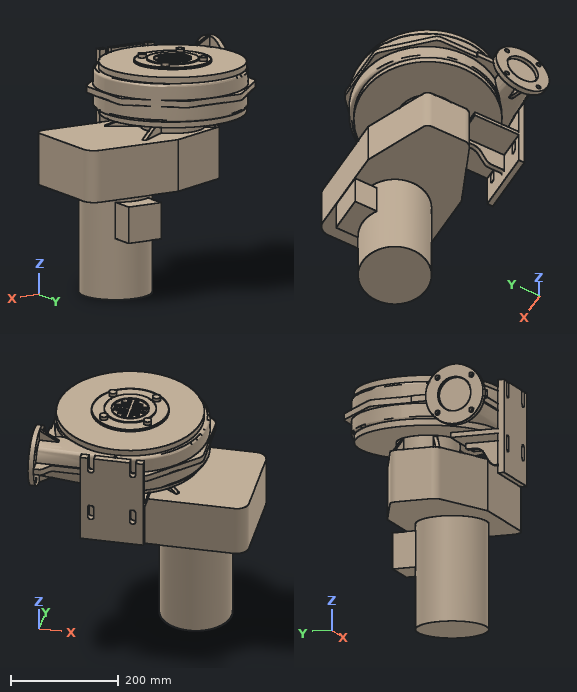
import cadquery as cq
import math


motor_x = 125.2
motor_radius = 68.8
housing_bottom = 202.5
housing_top = 301.5
housing_left = -78.0
housing_right = 242.5
housing_half_width = 100.3
housing_nose_half_width = 46.0
housing_taper_end = 49.0
housing_corner_radius = 22.8
housing_nose_radius = 15.8
terminal_box_width = 72.0
terminal_box_back = 105.5
terminal_box_bottom = 117.5
terminal_box_top = 187.0

neck_radius = 59.5
rib_angle = 33.7
rib_thickness = 8.0
rib_top = 328.5
long_rib_reach = 127.0
short_rib_reach = 80.0

casing_mid = 379.0
cover_radius = 138.5
cover_height = 96.5
scroll_height = 72.5
scroll_large_radius = 149.5
scroll_small_radius = 140.5
scroll_edge_radius = 5.0
cover_bottom = casing_mid - cover_height / 2
cover_top = casing_mid + cover_height / 2
scroll_bottom = casing_mid - scroll_height / 2

plate_thickness = 12.3
plate_left = -146.0
plate_right = 152.0
plate_back = 146.5
plate_front = -152.0
plate_left_end = 61.0
plate_back_left_end = -60.5
plate_back_right_end = 58.2
plate_right_back_end = 61.0
plate_right_front_end = -63.0
plate_front_end = 61.5
plate_step_y = -22.5
plate_foot_inner = -118.2
plate_foot_outer = -135.0
plate_corner_radius = 19.3
plate_foot_radius = 11.5

flange_face = -160.0
flange_thickness = 11.0
flange_radius = 57.5
flange_bolt_offset = 33.5
flange_bolt_radius = 4.5
outlet_bore_radius = 33.0
outlet_bore_depth = 8.0
pipe_radius = scroll_height / 2
pipe_y = pipe_radius - scroll_large_radius
pipe_start = flange_face + flange_thickness
pipe_corner_angle = 52
pipe_arc_half_angle = 6
gusset_thickness = 6.5
gusset_end = -112.5

gasket_radius = 72.5
gasket_height = 2.0
inlet_flange_radius = 72.0
inlet_flange_height = 1.8
inlet_ring_radius = 48.5
inlet_ring_height = 2.0
bolt_offset = 41.5
bolt_radius = 7.5
overall_top = 438
grille_radius = 35.0
grille_recess = 1.5
grille_thickness = 1.8
grille_hole = 7.0
grille_positions = (6.5, 16.0, 26.5)
inlet_chamber_depth = 8.8
gasket_top = cover_top + gasket_height
inlet_flange_top = gasket_top + inlet_flange_height
inlet_top = inlet_flange_top + inlet_ring_height

bracket_x = 1.0
bracket_width = 120.0
bracket_front = -174.0
bracket_thickness = 12.3
bracket_bottom = 245.2
bracket_top = 424.5
bracket_back = bracket_front + bracket_thickness
slot_spacing = 79.5
slot_radius = 5.5
low_slot_bottom = 290.0
low_slot_top = 320.5
high_slot_bottom = 393.2
shelf_thickness = 9.0
shelf_end = -67.5
shelf_bottom = cover_bottom - shelf_thickness
web_thickness = 9.0
web_tip = -76.0
web_step_y = -105.5
web_step_z = 311.0
web_heel_y = -127.5
web_bottom = 276.0
web_tip_radius = 3.0
web_step_radius = 19.5
web_heel_radius = 13.0
web_flare_radius = 4.0


def disc(radius, bottom, height, x=0, y=0):
    return cq.Workplane("XY", (x, y, bottom)).circle(radius).extrude(height)


def block(x_range, y_range, z_range):
    lows, highs = zip(x_range, y_range, z_range)
    size = [high - low for low, high in zip(lows, highs)]
    return cq.Workplane("XY").box(*size, centered=False).translate(lows)


def fillet_at(body, point, radius):
    """Round the one edge whose midpoint is the given point."""
    margin = 0.5
    low = [value - margin for value in point]
    high = [value + margin for value in point]
    return body.edges(cq.selectors.BoxSelector(low, high)).fillet(radius)


def make_housing():
    outline = [
        (housing_left, -housing_nose_half_width),
        (housing_taper_end, -housing_half_width),
        (housing_right, -housing_half_width),
        (housing_right, housing_half_width),
        (housing_taper_end, housing_half_width),
        (housing_left, housing_nose_half_width),
    ]
    body = (
        cq.Workplane("XY", (0, 0, housing_bottom))
        .polyline(outline).close()
        .extrude(housing_top - housing_bottom)
    )
    body = body.edges("|Z and >X").fillet(housing_corner_radius)
    return body.edges("|Z and <X").fillet(housing_nose_radius)


def make_motor():
    half_width = terminal_box_width / 2
    terminal_box = block(
        (motor_x - half_width, motor_x + half_width),
        (0, terminal_box_back),
        (terminal_box_bottom, terminal_box_top),
    )
    return disc(motor_radius, 0, housing_bottom, motor_x).union(terminal_box)


def make_neck_rib(reach, angle):
    outline = [(0, housing_top), (reach, housing_top), (neck_radius, rib_top), (0, rib_top)]
    rib = cq.Workplane("XZ").polyline(outline).close().extrude(rib_thickness / 2, both=True)
    return rib.rotate((0, 0, 0), (0, 0, 1), angle)


def make_neck():
    neck = disc(neck_radius, housing_top, cover_bottom - housing_top)
    for side in (-1, 1):
        neck = neck.union(make_neck_rib(long_rib_reach, side * rib_angle))
        neck = neck.union(make_neck_rib(short_rib_reach, 180 + side * rib_angle))
    return neck


def make_scroll():
    diagonal = math.sqrt(0.5)
    back_radius = (scroll_large_radius + scroll_small_radius) / 2
    back_x = scroll_large_radius - back_radius
    body = (
        cq.Workplane("XY", (0, 0, scroll_bottom))
        .moveTo(0, -scroll_large_radius)
        .threePointArc(
            (scroll_large_radius * diagonal, -scroll_large_radius * diagonal), (scroll_large_radius, 0)
        )
        .threePointArc((back_x, back_radius), (-scroll_small_radius, 0))
        .threePointArc(
            (-scroll_small_radius * diagonal, -scroll_small_radius * diagonal), (0, -scroll_small_radius)
        )
        .close()
        .extrude(scroll_height)
    )
    return body.faces("<Z or >Z").edges().fillet(scroll_edge_radius)


def make_parting_plate():
    octagon_corners = [
        (plate_left, plate_left_end),
        (plate_back_left_end, plate_back),
        (plate_back_right_end, plate_back),
        (plate_right, plate_right_back_end),
        (plate_right, plate_right_front_end),
        (plate_front_end, plate_front),
    ]
    foot_y = pipe_y - flange_radius
    foot_corners = [(plate_foot_inner, plate_front), (plate_foot_outer, foot_y)]
    flange_side = [(pipe_start, foot_y), (pipe_start, plate_step_y), (plate_left, plate_step_y)]
    plate = (
        cq.Workplane("XY", (0, 0, casing_mid - plate_thickness / 2))
        .polyline(octagon_corners + foot_corners + flange_side).close()
        .extrude(plate_thickness)
    )
    for x, y in octagon_corners:
        plate = fillet_at(plate, (x, y, casing_mid), plate_corner_radius)
    for x, y in foot_corners:
        plate = fillet_at(plate, (x, y, casing_mid), plate_foot_radius)
    return plate


def ring_point(angle):
    angle = math.radians(angle)
    return pipe_radius * math.cos(angle), pipe_radius * math.sin(angle)


def make_pipe():
    plane = cq.Plane((pipe_start, pipe_y, casing_mid), xDir=(0, 1, 0), normal=(1, 0, 0))
    flat = pipe_radius - scroll_edge_radius
    bulge = flat + scroll_edge_radius * math.sqrt(0.5)
    quadrants = (
        (1, 1, pipe_corner_angle),
        (-1, 1, 180 - pipe_corner_angle),
        (-1, -1, 180 + pipe_corner_angle),
        (1, -1, 360 - pipe_corner_angle),
    )
    last_angle = pipe_arc_half_angle - pipe_corner_angle
    circle = cq.Workplane(plane).moveTo(*ring_point(last_angle))
    square = cq.Workplane(plane).workplane(offset=-pipe_start).moveTo(pipe_radius, -flat)
    for u, v, corner in quadrants:
        before = corner - pipe_arc_half_angle
        after = corner + pipe_arc_half_angle
        circle = circle.threePointArc(ring_point((last_angle + before) / 2), ring_point(before))
        circle = circle.threePointArc(ring_point(corner), ring_point(after))
        last_angle = after
        side_end = (u * pipe_radius, v * flat)
        level_end = (u * flat, v * pipe_radius)
        start, end = (side_end, level_end) if u == v else (level_end, side_end)
        square = square.lineTo(*start).threePointArc((u * bulge, v * bulge), end)
    wires = [circle.close().val(), square.close().val()]
    return cq.Workplane(cq.Solid.makeLoft(wires, True))


def make_outlet():
    pipe = make_pipe()
    gusset = (
        cq.Workplane("XZ", (0, pipe_y, casing_mid))
        .polyline([
            (pipe_start, -flange_radius),
            (gusset_end, -pipe_radius),
            (gusset_end, pipe_radius),
            (pipe_start, flange_radius),
        ])
        .close()
        .extrude(gusset_thickness / 2, both=True)
    )
    face = cq.Plane((flange_face, pipe_y, casing_mid), xDir=(0, 1, 0), normal=(1, 0, 0))
    flange = cq.Workplane(face).circle(flange_radius).extrude(flange_thickness)
    bolt_holes = (
        cq.Workplane(face)
        .rect(2 * flange_bolt_offset, 2 * flange_bolt_offset, forConstruction=True)
        .vertices().circle(flange_bolt_radius)
        .extrude(flange_thickness)
    )
    bore = cq.Workplane(face).circle(outlet_bore_radius).extrude(outlet_bore_depth)
    return pipe.union(gusset).union(flange), bolt_holes.union(bore)


def make_inlet():
    inlet = disc(gasket_radius, cover_top, gasket_height)
    inlet = inlet.union(disc(inlet_flange_radius, gasket_top, inlet_flange_height))
    inlet = inlet.union(disc(inlet_ring_radius, inlet_flange_top, inlet_ring_height))
    bolts = (
        cq.Workplane("XY", (0, 0, inlet_flange_top))
        .rect(2 * bolt_offset, 2 * bolt_offset, forConstruction=True)
        .vertices().circle(bolt_radius)
        .extrude(overall_top - inlet_flange_top)
    )
    grille_top = inlet_top - grille_recess
    grille_bottom = grille_top - grille_thickness
    holes = [
        (side_x * x, side_y * y)
        for i, x in enumerate(grille_positions)
        for j, y in enumerate(grille_positions)
        if i + j < len(grille_positions)
        for side_x in (-1, 1)
        for side_y in (-1, 1)
    ]
    grille = (
        cq.Workplane("XY", (0, 0, grille_bottom))
        .pushPoints(holes).rect(grille_hole, grille_hole)
        .extrude(grille_thickness)
    )
    recess = disc(grille_radius, grille_top, grille_recess)
    chamber = disc(grille_radius, grille_bottom - inlet_chamber_depth, inlet_chamber_depth)
    return inlet.union(bolts), recess.union(grille).union(chamber)


def make_slot(x, bottom, top):
    length = top - bottom
    return (
        cq.Workplane("XZ", (x, bracket_back, bottom + length / 2))
        .slot2D(length, 2 * slot_radius, 90)
        .extrude(bracket_thickness)
    )


def make_web():
    tip = (web_tip, web_step_z)
    step = (web_step_y, web_step_z)
    heel = (web_heel_y, web_bottom)
    web = (
        cq.Workplane("YZ", (bracket_x, 0, 0))
        .polyline([
            (bracket_back, shelf_bottom), (web_tip, shelf_bottom),
            tip, step, heel, (bracket_back, web_bottom),
        ])
        .close()
        .extrude(web_thickness / 2, both=True)
    )
    rounds = ((tip, web_tip_radius), (step, web_step_radius), (heel, web_heel_radius))
    for (y, z), radius in rounds:
        web = fillet_at(web, (bracket_x, y, z), radius)
    return web


def make_bracket():
    x_range = (bracket_x - bracket_width / 2, bracket_x + bracket_width / 2)
    upright = block(x_range, (bracket_front, bracket_back), (bracket_bottom, bracket_top))
    for side in (-1, 1):
        x = bracket_x + side * slot_spacing / 2
        upright = upright.cut(make_slot(x, low_slot_bottom, low_slot_top))
        upright = upright.cut(make_slot(x, high_slot_bottom, bracket_top + 2 * slot_radius))
    shelf = block(x_range, (bracket_back, shelf_end), (shelf_bottom, cover_bottom))
    bracket = upright.union(shelf).union(make_web())
    return fillet_at(bracket, (bracket_x, bracket_back, web_bottom), web_flare_radius)


outlet, outlet_holes = make_outlet()
inlet, inlet_openings = make_inlet()
casing = disc(cover_radius, cover_bottom, cover_height).union(make_scroll())
casing = casing.union(make_parting_plate()).union(outlet).union(inlet)
casing = casing.cut(outlet_holes).cut(inlet_openings)

result = make_motor().union(make_housing()).union(make_neck()).union(casing).union(make_bracket())